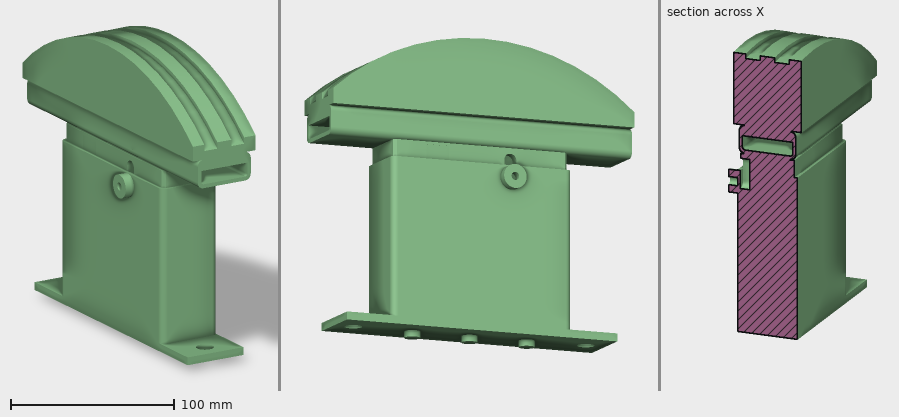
import cadquery as cq
import math

plate_length = 179.5
plate_width = 40.0
plate_thickness = 5.0
mount_hole_diameter = 11.0
mount_hole_end_distance = 12.5
mount_hole_spacing = plate_length - 2 * mount_hole_end_distance

peg_diameter = 10.0
peg_length = 4.0
peg_spacing = 38.0
peg_count = 3

sleeve_length = 119.5
sleeve_height = 99.5
sleeve_wall = 2.0
sleeve_corner_radius = 4.0
sleeve_top = plate_thickness + sleeve_height

block_length = sleeve_length - 2 * sleeve_wall
block_width = plate_width - 2 * sleeve_wall
block_corner_chamfer = 2.0
block_exposed_height = 11.0
block_top = sleeve_top + block_exposed_height
block_front = -block_width / 2

knob_x = 19.5
knob_diameter = 15.0
knob_reach = 26.0
knob_z = sleeve_top - 7.75
knob_length = knob_reach - plate_width / 2
knob_hole_diameter = 5.0

slot_width = 8.0
slot_depth = 6.0
slot_top = sleeve_top + 7.5

window_x = -28.75
window_width = 15.0
window_height = 9.25
window_depth = 0.1

channel_width = 38.0
channel_height = 18.25
channel_wall = 2.5
channel_corner_radius = 4.0
channel_inner_width = channel_width - 2 * channel_wall
channel_inner_height = channel_height - 2 * channel_wall
channel_top = block_top + channel_height

pad_length = 200.0
pad_width = 45.0
pad_top = 181.51
pad_arc_radius = 150.0
pad_arc_centre_z = pad_top - pad_arc_radius
pad_foot_height = 4.5
pad_foot_top = channel_top - channel_wall
pad_foot_bottom = pad_foot_top - pad_foot_height

middle_rib_width = 10.0
groove_width = 9.25
groove_depth = 3.0


def upright_box(length, width, bottom, top):
    """Box centred on the Z axis, between two heights."""
    return cq.Workplane("XY", origin=(0, 0, bottom)).rect(length, width).extrude(top - bottom)


def rounded_bar(width, bottom, top, radius):
    """Full-length bar along X with its four long edges rounded."""
    return upright_box(pad_length, width, bottom, top).edges("|X").fillet(radius)


def make_base():
    plate = upright_box(plate_length, plate_width, 0, plate_thickness)
    mount_holes = (
        cq.Workplane("XY")
        .rarray(mount_hole_spacing, 1, 2, 1)
        .circle(mount_hole_diameter / 2)
        .extrude(plate_thickness)
    )
    pegs = (
        cq.Workplane("XY")
        .rarray(peg_spacing, 1, peg_count, 1)
        .circle(peg_diameter / 2)
        .extrude(-peg_length)
    )
    return plate.cut(mount_holes).union(pegs)


def make_sleeve():
    sleeve = upright_box(sleeve_length, plate_width, plate_thickness, sleeve_top)
    return sleeve.edges("|Z").fillet(sleeve_corner_radius)


def make_block():
    """Exposed part of the block, with the window in its front face."""
    block = upright_box(block_length, block_width, sleeve_top, block_top)
    block = block.edges("|Z").chamfer(block_corner_chamfer)
    window = (
        cq.Workplane("XZ", origin=(window_x, block_front, sleeve_top + window_height / 2))
        .rect(window_width, window_height)
        .extrude(-window_depth)
    )
    return block.cut(window)


def make_slot():
    """Cutter for the slot, from the block's front face inward."""
    slot_upper_centre = slot_top - slot_width / 2
    slot_length = slot_upper_centre - knob_z + slot_width
    slot_centre_z = (slot_upper_centre + knob_z) / 2
    return (
        cq.Workplane("XZ", origin=(knob_x, block_front, slot_centre_z))
        .slot2D(slot_length, slot_width, 90)
        .extrude(-slot_depth)
    )


def make_knob():
    return (
        cq.Workplane("XZ", origin=(knob_x, -plate_width / 2, knob_z))
        .circle(knob_diameter / 2)
        .circle(knob_hole_diameter / 2)
        .extrude(knob_length)
    )


def make_channel():
    """Closed rounded tube; the pad neck fills the mouth between its lips."""
    shell = rounded_bar(channel_width, block_top, channel_top, channel_corner_radius)
    inner_bottom = block_top + channel_wall
    inner_top = inner_bottom + channel_inner_height
    bore = rounded_bar(channel_inner_width, inner_bottom, inner_top, channel_corner_radius - channel_wall)
    foot = upright_box(pad_length, channel_inner_width, pad_foot_bottom, pad_foot_top)
    return shell.cut(bore).union(foot)


def arch(bottom, radius, width, y_centre):
    """Slab of the pad length below an arc about the pad's arc centre."""
    half_length = pad_length / 2
    end_z = pad_arc_centre_z + math.sqrt(radius**2 - half_length**2)
    return (
        cq.Workplane("XZ", origin=(0, y_centre + width / 2, 0))
        .moveTo(-half_length, bottom)
        .lineTo(-half_length, end_z)
        .threePointArc((0, pad_arc_centre_z + radius), (half_length, end_z))
        .lineTo(half_length, bottom)
        .close()
        .extrude(width)
    )


def make_pad():
    """Low arch at groove depth, with three full-height ribs."""
    pad = arch(channel_top, pad_arc_radius - groove_depth, pad_width, 0)
    pad = pad.union(arch(channel_top, pad_arc_radius, middle_rib_width, 0))
    groove_outer_edge = middle_rib_width / 2 + groove_width
    outer_rib_width = pad_width / 2 - groove_outer_edge
    outer_rib_offset = groove_outer_edge + outer_rib_width / 2
    for side in (-1, 1):
        pad = pad.union(arch(channel_top, pad_arc_radius, outer_rib_width, side * outer_rib_offset))
    return pad


result = make_base().union(make_sleeve())
for component in (make_block(), make_knob(), make_channel(), make_pad()):
    result = result.union(component)
result = result.cut(make_slot())